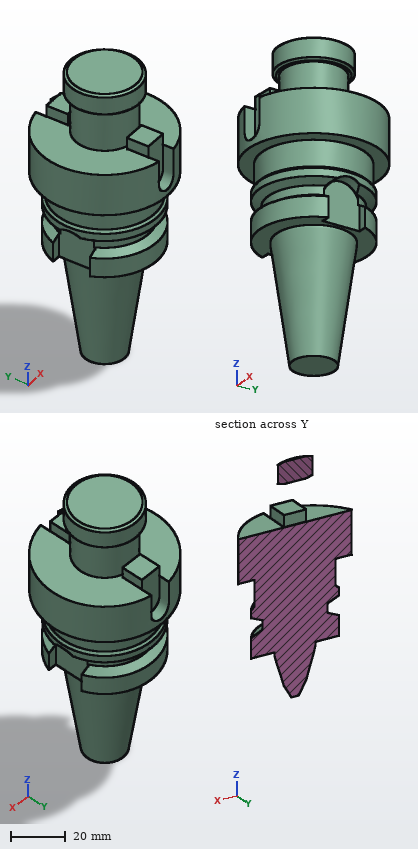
import cadquery as cq

TAPER_TOP_Z = 48.5
FLANGE_BOTTOM_Z = 49.7
FLANGE_EDGE_Z = 58.1
GROOVE_BOTTOM_Z = 60.3
GROOVE_TOP_Z = 64.0
RIM_BOTTOM_Z = 66.0
RIM_TOP_Z = 69.3
NECK_BOTTOM_Z = 70.5
COLLAR_BOTTOM_Z = 81.2
COLLAR_TOP_Z = 99.5
HEAD_BOTTOM_Z = 116.8
HEAD_TOP_Z = 126.0

TAPER_SMALL_RADIUS = 9.0
TAPER_LARGE_RADIUS = 15.9
FLANGE_RADIUS = 23.1
GROOVE_RADIUS = 19.3
NECK_RADIUS = 21.9
COLLAR_RADIUS = 27.8
SPIGOT_RADIUS = 12.7
HEAD_RADIUS = 15.1

BEVEL_WIDTH = 1.3
BEVEL_HEIGHT = 0.8

DRIVE_SLOT_WIDTH = 16.3
DRIVE_SLOT_FLOOR_X = 17.8
DRIVE_SLOT_TOP_Z = 67.5

KEY_WIDTH = 9.6
KEY_INNER_Y = 13.1
KEY_OUTER_Y = 22.7
KEY_BOTTOM_Z = 84.1
KEY_TOP_Z = 104.4

SIDES = (-1, 1)


def turned(profile):
    """Revolve an (R, Z) profile about the Z axis."""
    return cq.Workplane("XZ").polyline(profile).close().revolve(360, (0, 0), (0, 1))


def drive_slot(side):
    """Cutter for one flange slot, open downward and outward along X."""
    radius = DRIVE_SLOT_WIDTH / 2
    arch_z = DRIVE_SLOT_TOP_Z - radius
    return (
        cq.Workplane("YZ", origin=(side * DRIVE_SLOT_FLOOR_X, 0, 0))
        .moveTo(-radius, FLANGE_BOTTOM_Z)
        .lineTo(radius, FLANGE_BOTTOM_Z)
        .lineTo(radius, arch_z)
        .threePointArc((0, DRIVE_SLOT_TOP_Z), (-radius, arch_z))
        .close()
        .extrude(side * (COLLAR_RADIUS - DRIVE_SLOT_FLOOR_X))
    )


def key_shape(side, outer_y):
    """Round-bottomed block from the inner key face out to outer_y."""
    radius = KEY_WIDTH / 2
    round_z = KEY_BOTTOM_Z + radius
    return (
        cq.Workplane("XZ", origin=(0, side * KEY_INNER_Y, 0))
        .moveTo(-radius, KEY_TOP_Z)
        .lineTo(radius, KEY_TOP_Z)
        .lineTo(radius, round_z)
        .threePointArc((0, KEY_BOTTOM_Z), (-radius, round_z))
        .close()
        .extrude(-side * (outer_y - KEY_INNER_Y))
    )


def make_holder():
    """Taper, grooved flange, neck, collar and spigot, with drive slots and keyways."""
    holder = turned([
        (0, 0),
        (TAPER_SMALL_RADIUS, 0),
        (TAPER_LARGE_RADIUS, TAPER_TOP_Z),
        (TAPER_LARGE_RADIUS, FLANGE_BOTTOM_Z),
        (FLANGE_RADIUS, FLANGE_BOTTOM_Z),
        (FLANGE_RADIUS, FLANGE_EDGE_Z),
        (GROOVE_RADIUS, GROOVE_BOTTOM_Z),
        (GROOVE_RADIUS, GROOVE_TOP_Z),
        (FLANGE_RADIUS, RIM_BOTTOM_Z),
        (FLANGE_RADIUS, RIM_TOP_Z),
        (NECK_RADIUS, NECK_BOTTOM_Z),
        (NECK_RADIUS, COLLAR_BOTTOM_Z),
        (COLLAR_RADIUS, COLLAR_BOTTOM_Z),
        (COLLAR_RADIUS, COLLAR_TOP_Z),
        (SPIGOT_RADIUS, COLLAR_TOP_Z),
        (SPIGOT_RADIUS, HEAD_BOTTOM_Z),
        (0, HEAD_BOTTOM_Z),
    ])
    for side in SIDES:
        holder = holder.cut(drive_slot(side))
        holder = holder.cut(key_shape(side, COLLAR_RADIUS))
    return holder


def make_clamping_head():
    """Bevelled disc seated on the end of the spigot."""
    bevel_radius = HEAD_RADIUS - BEVEL_WIDTH
    return turned([
        (0, HEAD_BOTTOM_Z),
        (bevel_radius, HEAD_BOTTOM_Z),
        (HEAD_RADIUS, HEAD_BOTTOM_Z + BEVEL_HEIGHT),
        (HEAD_RADIUS, HEAD_TOP_Z - BEVEL_HEIGHT),
        (bevel_radius, HEAD_TOP_Z),
        (0, HEAD_TOP_Z),
    ])


holder = make_holder()
clamping_head = make_clamping_head()
drive_keys = [key_shape(side, KEY_OUTER_Y) for side in SIDES]

result = cq.Compound.makeCompound([
    holder.solids().val(),
    clamping_head.val(),
    *[key.val() for key in drive_keys],
])